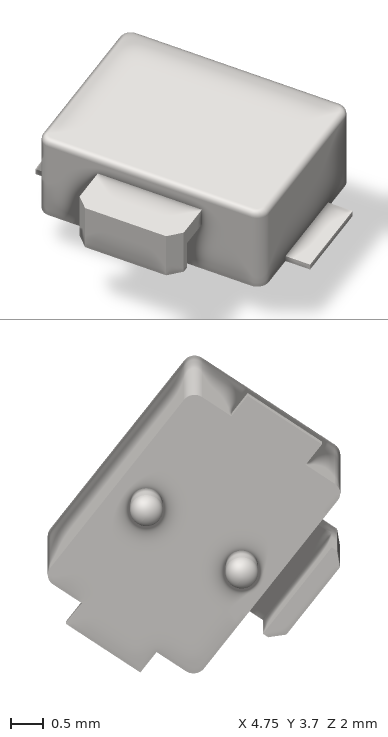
import cadquery as cq

HOUSING_LENGTH = 3.9
HOUSING_WIDTH = 2.9
HOUSING_HEIGHT = 1.5
CORNER_RADIUS = 0.2
TOP_EDGE_RADIUS = 0.1

PEG_DIAMETER = 0.5
PEG_LENGTH = 0.5
PEG_SPACING = 1.8

OVERALL_LENGTH = 4.75
TERMINAL_WIDTH = 1.4
TERMINAL_THICKNESS = 0.1
TERMINAL_REACH = (OVERALL_LENGTH - HOUSING_LENGTH) / 2

ACTUATOR_WIDTH = 1.8
ACTUATOR_HEIGHT = 0.8
ACTUATOR_REACH = 0.8
ACTUATOR_TOP = HOUSING_HEIGHT - 0.3
ARM_THICKNESS = 0.3
FACE_THICKNESS = 0.3
ACTUATOR_CHAMFER = 0.2

COVER_LENGTH = 2.6
COVER_WIDTH = 1.89
COVER_RADIUS = 0.2
COVER_THICKNESS = 0.1


def make_peg(y):
    """Round peg with a hemispherical end, hanging from the underside."""
    radius = PEG_DIAMETER / 2
    shank_length = PEG_LENGTH - radius
    profile = (
        cq.Workplane("XZ", origin=(0, y, 0))
        .lineTo(radius, 0)
        .lineTo(radius, -shank_length)
        .radiusArc((0, -PEG_LENGTH), radius)
        .close()
    )
    return profile.revolve(360, (0, 0, 0), (0, 1, 0))


def make_cover():
    """Rounded plate whose top is level with the housing top."""
    return (
        cq.Workplane("XY", origin=(0, 0, HOUSING_HEIGHT - COVER_THICKNESS))
        .rect(COVER_LENGTH, COVER_WIDTH)
        .extrude(COVER_THICKNESS)
        .edges("|Z")
        .fillet(COVER_RADIUS)
    )


def make_housing(cover):
    """Rounded block with its pegs and the recess for the cover."""
    housing = (
        cq.Workplane("XY")
        .rect(HOUSING_LENGTH, HOUSING_WIDTH)
        .extrude(HOUSING_HEIGHT)
        .edges("|Z")
        .fillet(CORNER_RADIUS)
        .faces(">Z")
        .edges()
        .fillet(TOP_EDGE_RADIUS)
    )
    for side in (-1, 1):
        housing = housing.union(make_peg(side * PEG_SPACING / 2))
    return housing.cut(cover)


def make_terminal(side):
    """Flat tab against the end wall at -X (side = -1) or +X (side = 1)."""
    x = side * (HOUSING_LENGTH + TERMINAL_REACH) / 2
    return (
        cq.Workplane("XY", origin=(x, 0, 0))
        .rect(TERMINAL_REACH, TERMINAL_WIDTH)
        .extrude(TERMINAL_THICKNESS)
    )


def make_actuator():
    """L-section arm and push face, with the outer vertical edges chamfered."""
    wall_y = -HOUSING_WIDTH / 2
    front_y = wall_y - ACTUATOR_REACH
    face_back_y = front_y + FACE_THICKNESS
    bottom_z = ACTUATOR_TOP - ACTUATOR_HEIGHT
    arm_bottom_z = ACTUATOR_TOP - ARM_THICKNESS
    return (
        cq.Workplane("YZ")
        .polyline([
            (wall_y, ACTUATOR_TOP),
            (front_y, ACTUATOR_TOP),
            (front_y, bottom_z),
            (face_back_y, bottom_z),
            (face_back_y, arm_bottom_z),
            (wall_y, arm_bottom_z),
        ])
        .close()
        .extrude(ACTUATOR_WIDTH / 2, both=True)
        .faces("<Y")
        .edges("|Z")
        .chamfer(ACTUATOR_CHAMFER)
    )


cover = make_cover()
housing = make_housing(cover)
actuator = make_actuator()
terminals = [make_terminal(side) for side in (-1, 1)]

result = cq.Compound.makeCompound([
    housing.val(),
    cover.val(),
    actuator.val(),
    *[terminal.val() for terminal in terminals],
])